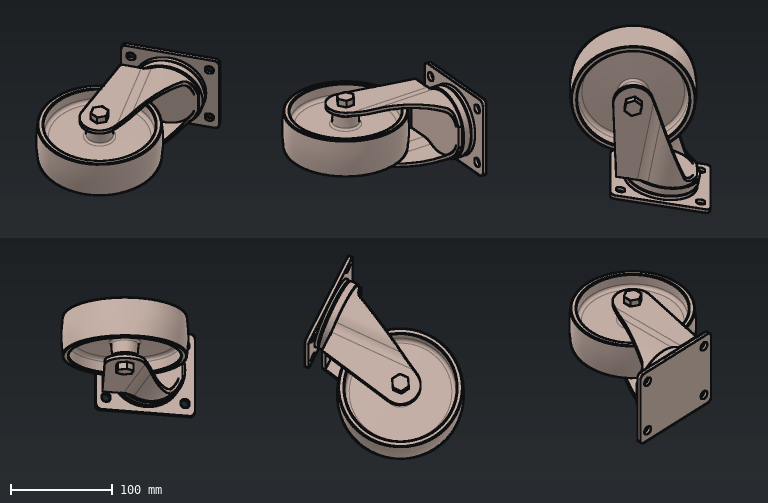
import cadquery as cq
import math

overall_y = 164.8
wheel_radius = 62.5
plate_top = overall_y - wheel_radius
swivel_x = 45.0

plate_length = 99.9
plate_width = 85.0
plate_thickness = 4.3
plate_corner_radius = 5.0
bolt_hole_diameter = 9.0
bolt_hole_pitch_x = 79.8
bolt_hole_pitch_z = 60.0

head_diameter = 73.7
head_radius = head_diameter / 2
head_height = 8.0
neck_height = 5.1
groove_radius = 35.6
groove_rise = 1.8
plate_bottom = plate_top - plate_thickness
head_top = plate_bottom - neck_height
fork_top = head_top - head_height

sheet = 4.0
crown_thickness = 4.3
leg_outer_z = 29.0
crown_radius = 35.0
flat_end_x = 19.3
crown_front_x = 78.0
leg_tip_radius = 19.8
leg_rear_angle = 12.2
leg_front_angle = 29.0
leg_front_fillet = 11.5

wheel_half_width = 20.3
tread_edge_radius = 61.1
rim_chamfer = 0.8
rim_inner_radius = 56.0
lip_chamfer = 0.8
rim_root_radius = 54.4
web_radius = 50.5
web_edge_z = 5.0
web_hub_z = 6.0
hub_base_radius = 13.5
hub_end_radius = 12.4
hub_half_length = 20.8
hub_fillet = 2.3

axle_diameter = 15.0
bolt_across_flats = 15.7
bolt_end_z = 36.5


def make_plate():
    """Rounded plate with four mounting holes."""
    plate = (
        cq.Workplane("XZ", origin=(swivel_x, plate_top, 0))
        .rect(plate_length, plate_width)
        .extrude(plate_thickness)
        .edges("|Y")
        .fillet(plate_corner_radius)
    )
    holes = (
        cq.Workplane("XZ", origin=(swivel_x, plate_top, 0))
        .rect(bolt_hole_pitch_x, bolt_hole_pitch_z, forConstruction=True)
        .vertices()
        .circle(bolt_hole_diameter / 2)
        .extrude(plate_thickness)
    )
    return plate.cut(holes)


def make_head():
    """Swivel head with a rounded groove below the plate."""
    groove_y = head_top + groove_rise
    bead_height = plate_bottom - groove_y
    profile = (
        cq.Workplane("XY", origin=(swivel_x, 0, 0))
        .moveTo(0, fork_top)
        .lineTo(head_radius, fork_top)
        .lineTo(head_radius, head_top)
        .lineTo(groove_radius, groove_y)
        .radiusArc((head_radius, plate_bottom), -bead_height)
        .lineTo(0, plate_bottom)
        .close()
    )
    return profile.revolve(360, (0, 0, 0), (0, 1, 0))


def fork_plan(inset, bottom, top):
    """Prism of the fork plan, with its flanks and round front moved inward by inset."""
    flank_z = leg_outer_z - inset
    radius = crown_radius - inset
    offset_x = swivel_x - flat_end_x
    outer_bend = (offset_x**2 + leg_outer_z**2 - crown_radius**2) / (2 * (crown_radius - leg_outer_z))
    bend_z = leg_outer_z + outer_bend
    bend_radius = outer_bend + inset
    angle = math.atan2(offset_x, bend_z)
    tangent = (swivel_x - radius * math.sin(angle), radius * math.cos(angle))
    bend_mid = (
        flat_end_x + bend_radius * math.sin(angle / 2),
        bend_z - bend_radius * math.cos(angle / 2),
    )
    back_x = -2 * leg_tip_radius
    outline = (
        cq.Workplane("XZ", origin=(0, top, 0))
        .moveTo(back_x, -flank_z)
        .lineTo(back_x, flank_z)
        .lineTo(flat_end_x, flank_z)
        .threePointArc(bend_mid, tangent)
        .threePointArc((swivel_x + radius, 0), (tangent[0], -tangent[1]))
        .threePointArc((bend_mid[0], -bend_mid[1]), (flat_end_x, -flank_z))
        .close()
    )
    return outline.extrude(top - bottom)


def leg_profile():
    """Side outline of the fork, extruded across its full width."""
    rear = math.radians(leg_rear_angle)
    front = math.radians(leg_front_angle)
    rear_tip = (-leg_tip_radius * math.cos(rear), leg_tip_radius * math.sin(rear))
    front_tip = (leg_tip_radius * math.cos(front), -leg_tip_radius * math.sin(front))
    crown_bottom = fork_top - crown_thickness
    corner_x = front_tip[0] + (crown_bottom - front_tip[1]) * math.tan(front)
    rear_top_x = rear_tip[0] + (fork_top - rear_tip[1]) * math.tan(rear)
    blank = (
        cq.Workplane("XY")
        .moveTo(rear_top_x, fork_top)
        .lineTo(*rear_tip)
        .threePointArc((0, -leg_tip_radius), front_tip)
        .lineTo(corner_x, crown_bottom)
        .lineTo(crown_front_x, crown_bottom)
        .lineTo(crown_front_x, fork_top)
        .close()
        .extrude(crown_radius, both=True)
    )
    corner = cq.selectors.NearestToPointSelector((corner_x, crown_bottom, 0))
    return blank.edges(corner).fillet(leg_front_fillet)


def make_fork():
    """Bent sheet fork: a crown with two legs that bulge around the swivel axis."""
    outside = fork_plan(0, -leg_tip_radius, fork_top)
    inside = fork_plan(sheet, -leg_tip_radius, fork_top - crown_thickness)
    return outside.cut(inside).intersect(leg_profile())


def make_tread():
    """Solid crowned disc with chamfered edges."""
    chamfer_z = wheel_half_width - rim_chamfer
    face_radius = tread_edge_radius - rim_chamfer
    return (
        cq.Workplane("XZ")
        .moveTo(0, -wheel_half_width)
        .lineTo(face_radius, -wheel_half_width)
        .lineTo(tread_edge_radius, -chamfer_z)
        .threePointArc((wheel_radius, 0), (tread_edge_radius, chamfer_z))
        .lineTo(face_radius, wheel_half_width)
        .lineTo(0, wheel_half_width)
        .close()
        .revolve(360, (0, 0, 0), (0, 1, 0))
    )


def make_dish():
    """Ring-shaped recess of the upper wheel side, around the tapered hub."""
    root_fillet = rim_root_radius - web_radius
    diagonal = root_fillet * math.sqrt(0.5)
    root_z = web_edge_z + root_fillet
    return (
        cq.Workplane("XZ")
        .moveTo(hub_end_radius, hub_half_length)
        .lineTo(hub_base_radius, web_hub_z + hub_fillet)
        .radiusArc((hub_base_radius + hub_fillet, web_hub_z), -hub_fillet)
        .lineTo(web_radius, web_edge_z)
        .threePointArc(
            (web_radius + diagonal, root_z - diagonal),
            (rim_root_radius, root_z),
        )
        .lineTo(rim_inner_radius - lip_chamfer, wheel_half_width - lip_chamfer)
        .lineTo(rim_inner_radius, wheel_half_width)
        .lineTo(rim_inner_radius, hub_half_length)
        .close()
        .revolve(360, (0, 0, 0), (0, 1, 0))
    )


def make_wheel():
    """Crowned wheel with both sides dished and the hub standing slightly proud."""
    hub = cq.Workplane("XY").circle(hub_end_radius).extrude(hub_half_length, both=True)
    dish = make_dish()
    return make_tread().cut(dish).cut(dish.mirror("XY")).union(hub)


def make_axle():
    """Round spacer between the legs and a hexagonal head at each end."""
    spacer = (
        cq.Workplane("XY")
        .circle(axle_diameter / 2)
        .extrude(leg_outer_z, both=True)
    )
    across_corners = bolt_across_flats / math.cos(math.pi / 6)
    heads = (
        cq.Workplane("XY")
        .transformed(rotate=(0, 0, 90))
        .polygon(6, across_corners)
        .extrude(bolt_end_z, both=True)
    )
    gap = cq.Workplane("XY").circle(across_corners).extrude(leg_outer_z, both=True)
    return spacer.union(heads.cut(gap))


result = make_plate().union(make_head()).union(make_fork()).union(make_wheel()).union(make_axle())